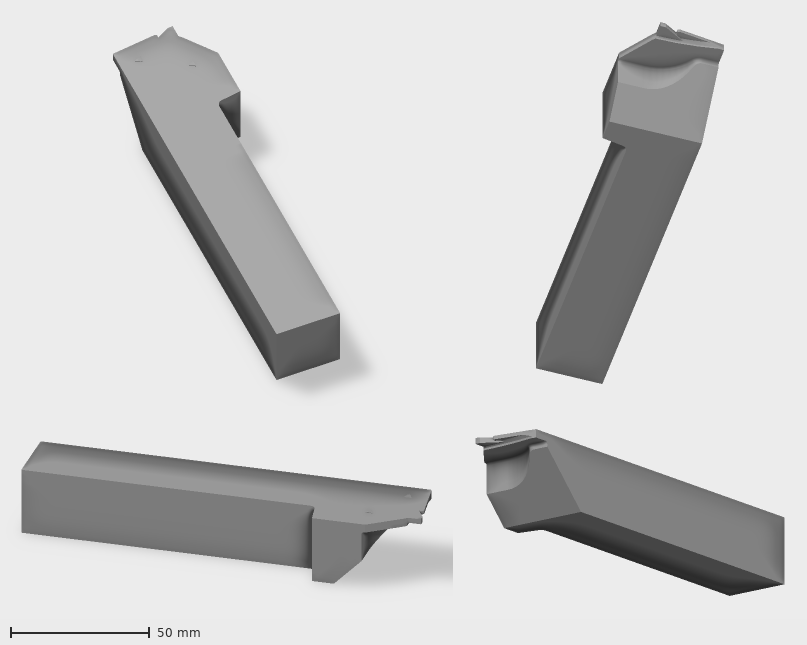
import cadquery as cq
import math

length = 150.0
shank_width = 25.0
shank_height = 25.0
head_width = 35.0
front_x = 3.3
front_lip = (1.0, 17.5)
lip_top = (1.5, 18.2)
notch_root_x = 2.7
nose_x = 5.0
nose_bend = (6.3, 26.2)
head_front_x = 18.2
head_back_x = 38.1
neck_x = 39.8
neck_fillet = 2.2

head_bottom = 21.9
wall_x = 9.9
wall_fillet = 0.9
slope_top = 20.0
swing_radius = 19.5
swing_corner_radius = 3.8

relief_radius = 123.0
relief_back_x = 5.2
relief_top = 23.7
relief_chamfer = 1.0

insert_side = 22.0
insert_back_x = 20.8
insert_edge_y = shank_width
insert_thickness = 2.0
corner_length = 2.7
corner_ramp = 1.6
corner_rise = 0.3

insert_bottom = shank_height - insert_thickness
insert_center = (
    insert_back_x - insert_side / 2,
    insert_edge_y - insert_side / (2 * math.sqrt(3)),
)
insert_reach = insert_side / math.sqrt(3)


def insert_prism(height):
    """Triangle standing on the pocket floor, with its cutting tip trimmed."""
    prism = (
        cq.Workplane("XY", origin=(*insert_center, insert_bottom))
        .transformed(rotate=(0, 0, 30))
        .polygon(3, 2 * insert_reach)
        .extrude(height)
    )
    keep = cq.Workplane("XY").box(length, length, length, centered=(False, True, False))
    return prism.intersect(keep)


def corner_ramps():
    """Lands at the three corners, each reached by a ramp from the flat top."""
    ramp_start = insert_reach - corner_length
    ramp = (
        cq.Workplane("XZ")
        .moveTo(ramp_start, 0)
        .lineTo(ramp_start + corner_ramp, corner_rise)
        .lineTo(insert_reach, corner_rise)
        .lineTo(insert_reach, -insert_thickness)
        .lineTo(ramp_start, -insert_thickness)
        .close()
        .extrude(insert_side / 2, both=True)
    )
    ramps = cq.Workplane("XY")
    for angle in (30, 150, 270):
        turned = ramp.rotate((0, 0, 0), (0, 0, 1), angle)
        ramps = ramps.add(turned.translate((*insert_center, shank_height)))
    return ramps.combine()


def make_insert():
    corners = insert_prism(insert_thickness + corner_rise).intersect(corner_ramps())
    return insert_prism(insert_thickness).union(corners)


def holder_blank():
    outline = [
        (front_x, 0),
        (length, 0),
        (length, shank_width),
        (neck_x, shank_width),
        (head_back_x, head_width),
        (head_front_x, head_width),
        nose_bend,
        (nose_x, insert_edge_y),
        (notch_root_x, lip_top[1]),
        lip_top,
        front_lip,
    ]
    blank = cq.Workplane("XY").polyline(outline).close().extrude(shank_height)
    neck = cq.selectors.NearestToPointSelector((neck_x, shank_width, shank_height / 2))
    return blank.edges(neck).fillet(neck_fillet)


def slope_cut():
    """Removes everything in front of the 45 degree slope."""
    return (
        cq.Workplane("XZ")
        .moveTo(wall_x + slope_top, 0)
        .lineTo(wall_x, slope_top)
        .lineTo(-wall_x, slope_top)
        .lineTo(-wall_x, 0)
        .close()
        .extrude(-head_width)
    )


def swing_cut():
    """Clears the space under the head plate, back to the wall and the swing arc."""
    corner_y = insert_edge_y - math.sqrt(swing_radius**2 - wall_x**2)
    arc_middle = swing_radius * math.sqrt(0.5)
    cut = (
        cq.Workplane("XY")
        .moveTo(-wall_x, 0)
        .lineTo(wall_x, 0)
        .lineTo(wall_x, corner_y)
        .threePointArc((arc_middle, insert_edge_y - arc_middle), (swing_radius, insert_edge_y))
        .lineTo(swing_radius, head_width)
        .lineTo(-wall_x, head_width)
        .close()
        .extrude(head_bottom)
    )
    corner = cq.selectors.NearestToPointSelector((wall_x, corner_y, head_bottom / 2))
    cut = cut.edges(corner).fillet(swing_corner_radius)
    wall_edge = cq.selectors.NearestToPointSelector((wall_x, corner_y / 4, head_bottom))
    return cut.edges(wall_edge).fillet(wall_fillet)


def relief_cut():
    center = (relief_back_x - relief_radius, shank_width, 0)
    disc = cq.Workplane("XY", origin=center).circle(relief_radius).extrude(relief_top)
    return disc.faces(">Z").edges().chamfer(relief_chamfer)


insert = make_insert()
holder = (
    holder_blank()
    .cut(slope_cut())
    .cut(swing_cut())
    .cut(relief_cut())
    .cut(insert_prism(insert_thickness + corner_rise))
)

result = cq.Compound.makeCompound([holder.val(), insert.val()])